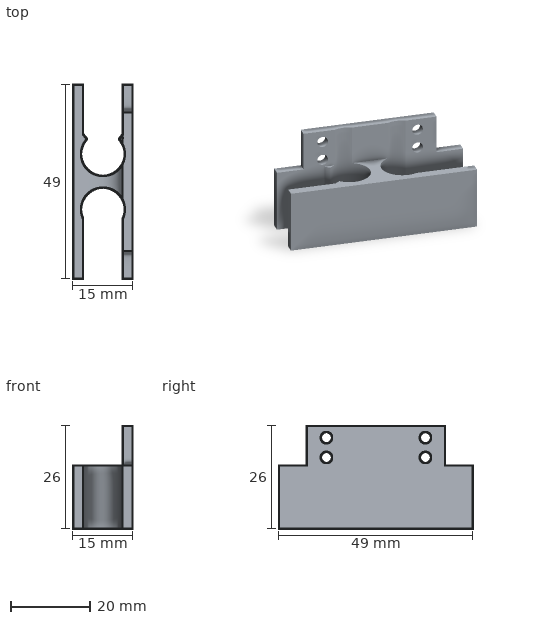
import cadquery as cq
import math

length = 49.0
width = 15.0
body_height = 16.0
wall = 2.5

tab_length = 35.0
tab_height = 10.0
screw_hole_diameter = 2.8
screw_hole_spacing_y = 25.0
screw_hole_heights = (18.0, 23.0)

bore_diameter = 11.0
bore_spacing = 14.0

mouth_width = 8.0
lip_root_offset = 5.0

gap = width - 2 * wall
bore_radius = bore_diameter / 2
bore_y = bore_spacing / 2
total_height = body_height + tab_height
wall_center_x = (gap + wall) / 2


def make_wall(side):
    """Full-length side wall; side is -1 or +1 along X."""
    return (
        cq.Workplane("XY")
        .center(side * wall_center_x, 0)
        .rect(wall, length)
        .extrude(body_height)
    )


def make_web():
    """Web between the walls, ending in lips that taper to the wall at the +Y bore."""
    half_gap = gap / 2
    half_mouth = mouth_width / 2
    tip_y = bore_y + math.sqrt(bore_radius**2 - half_mouth**2)
    root_y = bore_y + lip_root_offset
    outline = [
        (-half_gap, -bore_y),
        (half_gap, -bore_y),
        (half_gap, root_y),
        (half_mouth, tip_y),
        (-half_mouth, tip_y),
        (-half_gap, root_y),
    ]
    return cq.Workplane("XY").polyline(outline).close().extrude(body_height)


def make_tab():
    """Upright tab continuing the +X wall."""
    return (
        cq.Workplane("XY", origin=(wall_center_x, 0, body_height))
        .rect(wall, tab_length)
        .extrude(tab_height)
    )


def make_bores():
    """Rod bores, cut through the full height including the tab."""
    return (
        cq.Workplane("XY")
        .pushPoints([(0, -bore_y), (0, bore_y)])
        .circle(bore_radius)
        .extrude(total_height)
    )


def make_screw_holes():
    """Screw holes through the tab along X."""
    half_spacing = screw_hole_spacing_y / 2
    points = [(y, z) for y in (-half_spacing, half_spacing) for z in screw_hole_heights]
    return (
        cq.Workplane("YZ")
        .pushPoints(points)
        .circle(screw_hole_diameter / 2)
        .extrude(width / 2)
    )


body = make_wall(-1).union(make_wall(1)).union(make_web()).union(make_tab())
result = body.cut(make_bores()).cut(make_screw_holes())